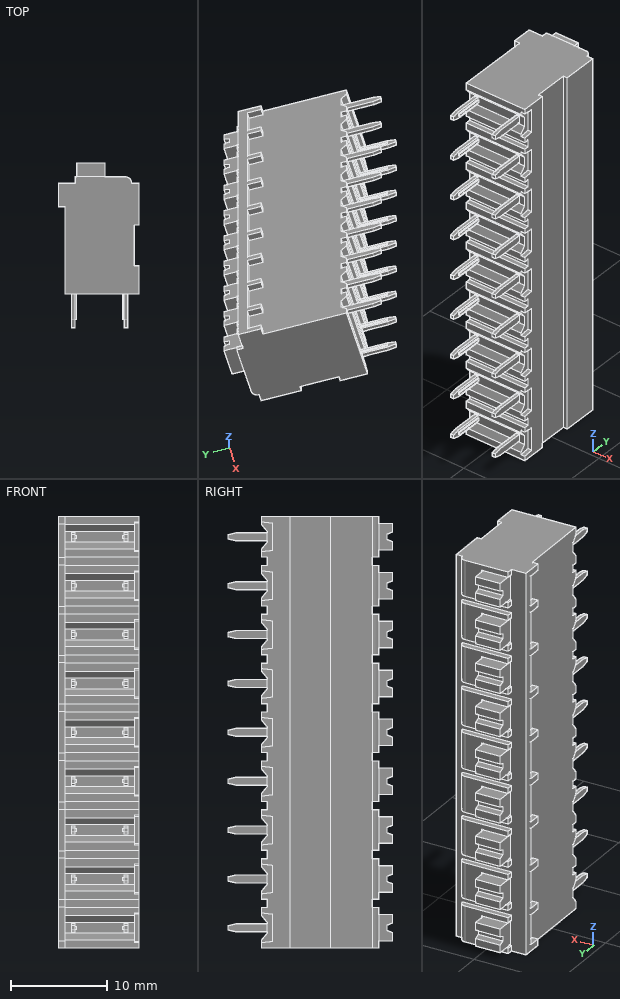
import cadquery as cq


module_count = 9
total_height = 44.85
groove_height = 0.85
pitch = (total_height + groove_height) / module_count

housing_width = 8.4
ledge_width = 0.67
ledge_start = 9.05
shoulder_depth = 11.52
rear_depth = 12.2
rear_left = 1.75
rear_right = 7.62
rear_radius = 0.67
side_notch_depth = 0.5
side_notch_start = 2.95
side_notch_end = 7.17

tooth_length = 1.5
tooth_height = 0.75

recess_depth = 0.6
recess_mouth_height = 2.5
recess_floor_height = 1.1
side_pocket_depth = 1.15
side_pocket_mouth_height = 3.1
side_pocket_floor_height = 2.82

pin_width = 0.4
pin_height = 0.85
pin_length = 3.5
pin_tip_length = 0.85
pin_tip_height = 0.45
pin_left = 1.35
pin_right = 7.2
rib_width = 0.15
rib_height = 0.3

button_left = 1.9
button_width = 2.95
button_height = 2.8
button_reach = 13.65
button_clearance = 0.1
button_notch_depth = 0.6
button_notch_mouth = 1.0
button_notch_floor = 0.55

module_centers = [(i - (module_count - 1) / 2) * pitch for i in range(module_count)]
groove_centers = [z + pitch / 2 for z in module_centers[:-1]]


def block(x_range, y_range, z_center, height):
    """Box spanning the given X and Y ranges, centred on z_center."""
    (x0, x1), (y0, y1) = x_range, y_range
    return (
        cq.Workplane("XY")
        .box(x1 - x0, y1 - y0, height, centered=(False, False, True))
        .translate((x0, y0, z_center))
    )


def side_prism(points, x_start, width):
    """Extrude a (Y, Z) outline along +X from x_start."""
    return cq.Workplane("YZ").polyline(points).close().extrude(width).translate((x_start, 0, 0))


def trapezoid(y_mouth, y_floor, mouth, floor):
    """(Y, Z) outline of a groove symmetric about Z = 0."""
    return [
        (y_mouth, -mouth / 2),
        (y_mouth, mouth / 2),
        (y_floor, floor / 2),
        (y_floor, -floor / 2),
    ]


def make_housing():
    notch_x = housing_width - side_notch_depth
    return (
        cq.Workplane("XY")
        .workplane(offset=-total_height / 2)
        .moveTo(ledge_width, 0)
        .lineTo(housing_width, 0)
        .lineTo(housing_width, side_notch_start)
        .lineTo(notch_x, side_notch_start)
        .lineTo(notch_x, side_notch_end)
        .lineTo(housing_width, side_notch_end)
        .lineTo(housing_width, shoulder_depth)
        .lineTo(rear_right, shoulder_depth)
        .radiusArc((rear_right - rear_radius, rear_depth), -rear_radius)
        .lineTo(rear_left, rear_depth)
        .lineTo(rear_left, shoulder_depth)
        .lineTo(0, shoulder_depth)
        .lineTo(0, ledge_start)
        .lineTo(ledge_width, ledge_start)
        .close()
        .extrude(total_height)
    )


def make_module_cuts():
    """Everything removed from one module centred on Z = 0."""
    recess_outline = trapezoid(0, recess_depth, recess_mouth_height, recess_floor_height)
    recess = side_prism(recess_outline, ledge_width, housing_width - ledge_width)
    pocket_outline = trapezoid(
        0, side_pocket_depth, side_pocket_mouth_height, side_pocket_floor_height
    )
    side_pocket = side_prism(
        pocket_outline, housing_width - side_notch_depth, side_notch_depth
    )
    button_window = block(
        (rear_left, button_left + button_width + button_clearance),
        (shoulder_depth, rear_depth),
        0,
        button_height + 2 * button_clearance,
    )
    return [recess, side_pocket, button_window]


def make_ledge_gaps():
    """Cuts that leave teeth at both ends of the ledge and at every groove."""
    edges = [-total_height / 2 + tooth_height]
    for z in groove_centers:
        edges += [z - tooth_height / 2, z + tooth_height / 2]
    edges.append(total_height / 2 - tooth_height)
    y_range = (ledge_start, ledge_start + tooth_length)
    return [
        block((0, ledge_width), y_range, (low + high) / 2, high - low)
        for low, high in zip(edges[::2], edges[1::2])
    ]


def make_grooves(z):
    """Front and rear grooves separating neighbouring modules."""
    front = block((0, housing_width), (0, recess_depth), z, groove_height)
    rear = block((0, housing_width), (shoulder_depth, rear_depth), z, groove_height)
    return [front, rear]


def make_left_pin():
    """Flat pin with a tapered tip and a narrow rib along its inner face."""
    shank_end = pin_tip_length - pin_length
    shank = block((0, pin_width), (shank_end, recess_depth), 0, pin_height)
    rib = block((pin_width, pin_width + rib_width), (shank_end, recess_depth), 0, rib_height)
    tip = (
        cq.Workplane("XZ", origin=(pin_width / 2, shank_end, 0))
        .rect(pin_width, pin_height)
        .workplane(offset=pin_tip_length)
        .rect(pin_width, pin_tip_height)
        .loft(ruled=True)
    )
    return shank.union(rib).union(tip)


def make_button():
    button = block(
        (button_left, button_left + button_width),
        (shoulder_depth, button_reach),
        0,
        button_height,
    )
    notch = trapezoid(
        button_reach, button_reach - button_notch_depth, button_notch_mouth, button_notch_floor
    )
    return button.cut(side_prism(notch, button_left, button_width))


housing = make_housing()
for gap in make_ledge_gaps():
    housing = housing.cut(gap)
for groove_z in groove_centers:
    for groove in make_grooves(groove_z):
        housing = housing.cut(groove)

module_cuts = make_module_cuts()
pin = make_left_pin()
additions = [
    pin.translate((pin_left, 0, 0)),
    pin.mirror("YZ").translate((pin_right, 0, 0)),
    make_button(),
]
for module_z in module_centers:
    for cut in module_cuts:
        housing = housing.cut(cut.translate((0, 0, module_z)))
    for addition in additions:
        housing = housing.union(addition.translate((0, 0, module_z)))

result = housing